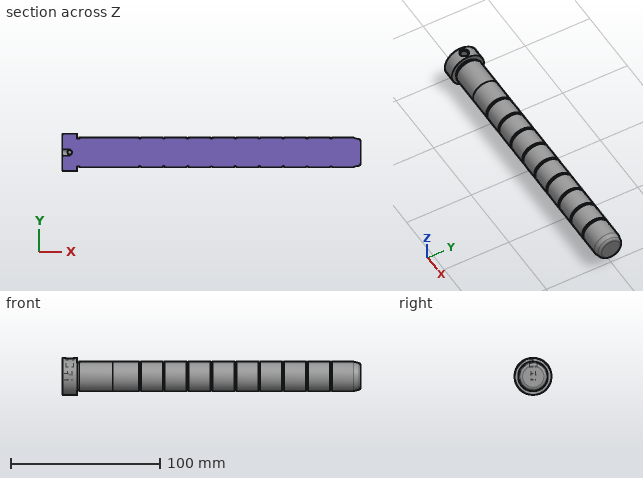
import cadquery as cq
import math

total_length = 200.0
head_diameter = 25.0
head_length = 10.0
head_chamfer = 0.5
shank_diameter = 20.0

undercut_width = 1.5
undercut_depth = 0.6

fit_end = 34.0
fit_allowance = 0.01

groove_count = 9
groove_pitch = 16.0
first_groove_center = 52.0
groove_width = 1.6
groove_depth = 0.8

lead_in_length = 5.0
lead_in_drop = 1.3
nose_radius = 2.0

passage_diameter = 3.0
axial_hole_diameter = 4.2
radial_mouth_diameter = 6.6
radial_socket_diameter = 5.0
radial_socket_depth = 6.0

head_radius = head_diameter / 2
shank_radius = shank_diameter / 2
head_middle = head_length / 2


def pin_body():
    """Turned pin: head, undercut, fitted length, sliding length, lead-in and nose."""
    undercut_radius = shank_radius - undercut_depth
    undercut_end = head_length + undercut_width
    fit_radius = shank_radius + fit_allowance
    profile = (
        cq.Workplane("XZ")
        .moveTo(0, 0)
        .lineTo(0, head_radius - head_chamfer)
        .lineTo(head_chamfer, head_radius)
        .lineTo(head_length, head_radius)
        .lineTo(head_length, undercut_radius)
        .lineTo(undercut_end, undercut_radius)
        .lineTo(undercut_end, fit_radius)
        .lineTo(fit_end, fit_radius)
        .lineTo(fit_end, shank_radius)
        .lineTo(total_length - lead_in_length, shank_radius)
        .lineTo(total_length, shank_radius - lead_in_drop)
        .lineTo(total_length, 0)
        .close()
    )
    pin = profile.revolve(360, (0, 0, 0), (1, 0, 0))
    return pin.faces(">X").edges().fillet(nose_radius)


def groove_cutter(center):
    """Ring with a V-shaped section that cuts one groove around the shank."""
    half_width = groove_width / 2
    section = (
        cq.Workplane("XZ")
        .moveTo(center - half_width, shank_radius)
        .lineTo(center, shank_radius - groove_depth)
        .lineTo(center + half_width, shank_radius)
        .lineTo(center + half_width, head_radius)
        .lineTo(center - half_width, head_radius)
        .close()
    )
    return section.revolve(360, (0, 0, 0), (1, 0, 0))


def axial_hole():
    """Plain grease hole from the head face to the middle of the head."""
    return cq.Workplane("YZ").circle(axial_hole_diameter / 2).extrude(head_middle)


def radial_hole():
    """Grease hole from the top of the head: countersunk socket, then a passage into the axial hole."""
    socket_radius = radial_socket_diameter / 2
    mouth_radius = radial_mouth_diameter / 2
    passage_radius = passage_diameter / 2
    passage_floor = -axial_hole_diameter / 2
    socket_floor = head_radius - radial_socket_depth
    mouth_edge = math.sqrt(head_radius**2 - mouth_radius**2)
    sink_start = mouth_edge - (mouth_radius - socket_radius)
    profile = (
        cq.Workplane("XZ", origin=(head_middle, 0, 0))
        .moveTo(0, passage_floor)
        .lineTo(passage_radius, passage_floor)
        .lineTo(passage_radius, socket_floor)
        .lineTo(socket_radius, socket_floor)
        .lineTo(socket_radius, sink_start)
        .lineTo(mouth_radius, mouth_edge)
        .lineTo(mouth_radius, head_radius)
        .lineTo(0, head_radius)
        .close()
    )
    return profile.revolve(360, (0, 0, 0), (0, 1, 0))


result = pin_body()
for index in range(groove_count):
    result = result.cut(groove_cutter(first_groove_center + index * groove_pitch))
result = result.cut(axial_hole())
result = result.cut(radial_hole())